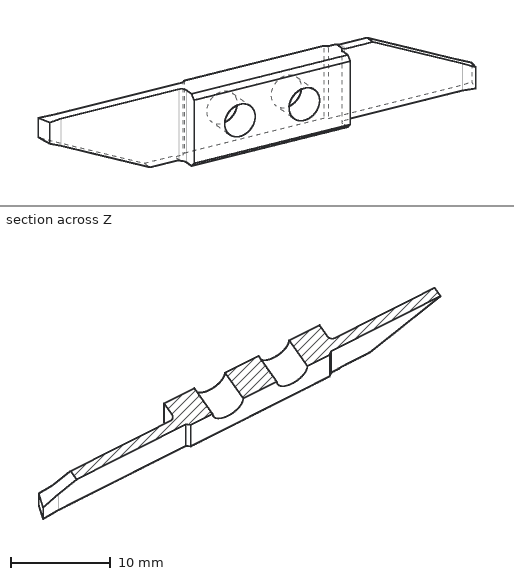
import cadquery as cq
import math

length = 50.5
height = 8.0
body_thickness = 3.6
half_length = length / 2
half_height = height / 2

blade_left = 0.3
blade_right = 1.5

body_half_length = 9.1
root_radius = 0.55
left_step_start = 8.12
left_step_run = 0.37
edge_chamfer = 0.5

head_length = 1.85
head_left = 0.18
head_right = 1.75
head_right_setback = 0.43

relief_start = 9.4
relief_depth = 0.13
relief_radius = 0.8
slope_start = 12.98
tip_height = 2.15

hole_diameter = 3.55
hole_spacing = 7.5


def plan_half():
    """Half of the top outline, on the +Y side, extruded to full height."""
    head_start = half_length - head_length
    fillet_end = body_half_length + root_radius
    outline = (
        cq.Workplane("XY", origin=(0, 0, -half_height))
        .moveTo(0, 0)
        .lineTo(0, left_step_start)
        .lineTo(blade_left, left_step_start + left_step_run)
        .lineTo(blade_left, head_start)
        .lineTo(head_left, half_length)
        .lineTo(head_right, half_length - head_right_setback)
        .lineTo(blade_right, head_start)
        .lineTo(blade_right, fillet_end)
        .radiusArc((blade_right + root_radius, body_half_length), -root_radius)
        .lineTo(body_thickness, body_half_length)
        .lineTo(body_thickness, 0)
        .close()
    )
    return outline.extrude(height)


def edge_relief():
    """Cutter that tapers the top edge of the +Y blade down to its tip."""
    step_z = half_height - relief_depth
    run_out = math.sqrt(relief_depth * (2 * relief_radius - relief_depth))
    tip_z = tip_height - half_height
    return (
        cq.Workplane("YZ")
        .moveTo(relief_start, half_height)
        .radiusArc((relief_start + run_out, step_z), -relief_radius)
        .lineTo(slope_start, step_z)
        .lineTo(half_length, tip_z)
        .lineTo(half_length, half_height)
        .close()
        .extrude(body_thickness)
    )


def body_chamfers(solid):
    """Bevel the two long edges on the right face of the body."""
    return solid.faces(">X").edges("|Y").chamfer(edge_chamfer)


def holes():
    """Cutter for the two through holes along X."""
    return (
        cq.Workplane("YZ")
        .pushPoints([(-hole_spacing / 2, 0), (hole_spacing / 2, 0)])
        .circle(hole_diameter / 2)
        .extrude(body_thickness)
    )


half = plan_half().cut(edge_relief())
other_half = half.rotate((0, 0, 0), (1, 0, 0), 180)
result = body_chamfers(half.union(other_half).clean()).cut(holes())